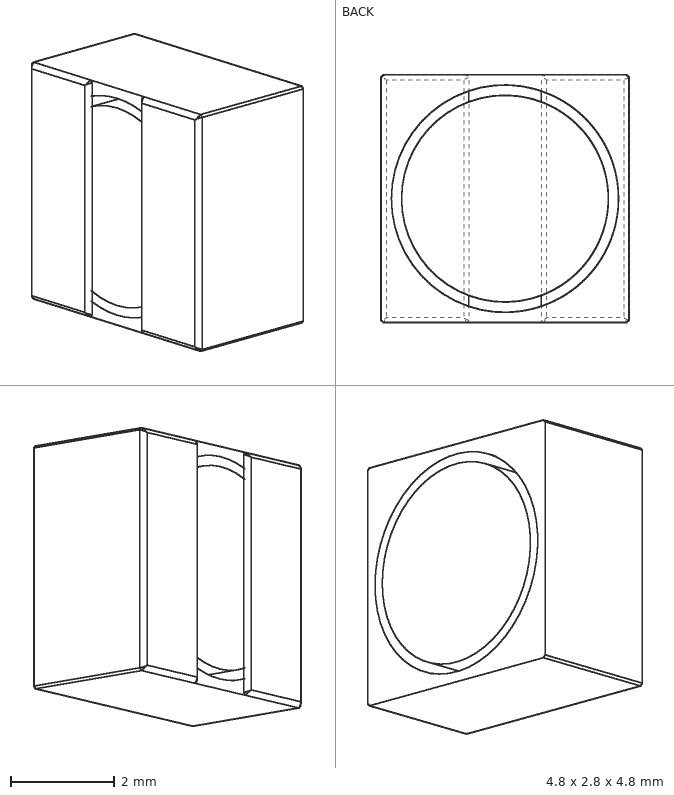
import cadquery as cq

side = 4.8
depth = 2.8
corner_chamfer = 0.05

pad_height = 0.1
pad_gap = 1.4
pad_width = (side - pad_gap) / 2
pad_offset = (side + pad_gap) / 4
pad_bevel_angle = 45

core_radius = 2.0
bore_radius = 2.2

body_depth = depth - pad_height
pad_plane_y = -depth / 2 + pad_height


def corner_chamfered_block(width, length):
    """Block extending toward +Y from the pad plane, with chamfered corners."""
    return (
        cq.Workplane("XZ", origin=(0, pad_plane_y, 0))
        .rect(width, side)
        .extrude(-length)
        .edges("|Y")
        .chamfer(corner_chamfer)
    )


def terminal_pad(center_x):
    """Pad whose four sides and clipped corners all slope inward toward -Y."""
    outline = corner_chamfered_block(pad_width, body_depth).faces("<Y").wires()
    pad = outline.toPending().workplane().extrude(pad_height, combine=False, taper=pad_bevel_angle)
    return pad.translate((center_x, 0, 0))


def annular_gap():
    """Ring that passes through the full depth of the body."""
    return (
        cq.Workplane("XZ", origin=(0, pad_plane_y, 0))
        .circle(bore_radius)
        .circle(core_radius)
        .extrude(-body_depth)
    )


result = corner_chamfered_block(side, body_depth).cut(annular_gap())
for center_x in (-pad_offset, pad_offset):
    result = result.union(terminal_pad(center_x))